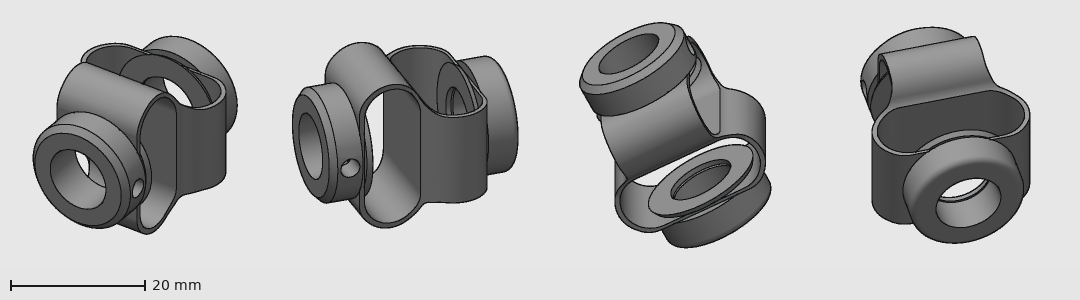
import cadquery as cq
import math

loop_half_length = 12.0
loop_depth = 10.0
band_width = 14.4
blend_radius = 3.0
end_wall = 0.8
middle_wall = 1.0
rear_wall = 0.48
front_wall = 0.8
shoulder_start = 10.5
shoulder_end = 7.6
shoulder_radius = 4.05

hub_radius = 8.75
hub_end = 15.0
hub_edge = 1.0
bore_radius = 5.0
screw_hole_diameter = 3.0
screw_hole_place = 12.0

flange_inner = 8.4
flange_thickness = 0.8
flange_small_radius = 8.3
clearance = 1.5

end_radius = loop_depth / 2
arc_center = loop_half_length - end_radius
shoulder_start_depth = end_radius + math.sqrt(end_radius**2 - (shoulder_start - arc_center) ** 2)
half_band = band_width / 2
flange_outer = flange_inner + flange_thickness
opening_half_length = loop_half_length - end_wall
opening_start = middle_wall / 2


def shoulder_middle():
    """Middle point of the shoulder arc, as (half length, depth)."""
    run = shoulder_start - shoulder_end
    rise = loop_depth - shoulder_start_depth
    chord = math.hypot(run, rise)
    bulge = shoulder_radius - math.sqrt(shoulder_radius**2 - (chord / 2) ** 2)
    return (
        (shoulder_start + shoulder_end) / 2 + bulge * rise / chord,
        (loop_depth + shoulder_start_depth) / 2 + bulge * run / chord,
    )


def loop_block():
    """Outer shape of the rear loop, extended in Z past the other loop."""
    mid_x, mid_y = shoulder_middle()
    outline = (
        cq.Workplane("XY")
        .moveTo(-arc_center, 0)
        .lineTo(arc_center, 0)
        .threePointArc((loop_half_length, end_radius), (shoulder_start, shoulder_start_depth))
        .threePointArc((mid_x, mid_y), (shoulder_end, loop_depth))
        .lineTo(-shoulder_end, loop_depth)
        .threePointArc((-mid_x, mid_y), (-shoulder_start, shoulder_start_depth))
        .threePointArc((-loop_half_length, end_radius), (-arc_center, 0))
        .close()
    )
    return outline.extrude(loop_half_length + clearance, both=True)


def loop_blends():
    """Concave blends from the rear loop's rounded ends to the front loop's sides."""
    center_x = half_band + blend_radius
    reach = end_radius + blend_radius
    center_y = end_radius - math.sqrt(reach**2 - (center_x - arc_center) ** 2)
    share = end_radius / reach
    touch_x = arc_center + (center_x - arc_center) * share
    touch_y = end_radius + (center_y - end_radius) * share
    angle = (math.pi + math.atan2(touch_y - center_y, touch_x - center_x)) / 2
    middle = (center_x + blend_radius * math.cos(angle), center_y + blend_radius * math.sin(angle))
    outline = (
        cq.Workplane("XY")
        .moveTo(half_band, center_y)
        .threePointArc(middle, (touch_x, touch_y))
        .lineTo(arc_center, end_radius)
        .lineTo(0, end_radius)
        .lineTo(0, center_y)
        .close()
    )
    blend = outline.extrude(loop_half_length + clearance, both=True)
    return blend.union(blend.mirror("YZ"))


def silhouette():
    """Rear loop, its blends and the width of the front band, extended along Z."""
    front_band = cq.Workplane("XY").box(band_width, loop_depth, 2 * (loop_half_length + clearance))
    front_band = front_band.translate((0, -loop_depth / 2, 0))
    return loop_block().union(loop_blends()).union(front_band)


def loop_opening(outer_wall):
    """Rounded slot through the rear loop, leaving outer_wall beside the hub."""
    depth = loop_depth - outer_wall - opening_start
    return (
        cq.Workplane("XY")
        .center(0, opening_start + depth / 2)
        .slot2D(2 * opening_half_length, depth)
        .extrude(loop_half_length + clearance, both=True)
    )


def to_front(shape):
    """Turn a rear loop shape into the front loop's place, long in Z."""
    return shape.rotate((0, 0, 0), (0, 1, 0), 90).mirror("XZ")


def cylinder_y(radius, start, end):
    """Cylinder about the Y axis."""
    return cq.Workplane("XZ", origin=(0, start, 0)).circle(radius).extrude(start - end)


def hub():
    """Plain rear hub with sharp edges."""
    return cylinder_y(hub_radius, loop_depth, hub_end)


def flange():
    """Tapered ring inside the rear loop, wide face toward the middle."""
    profile = [
        (bore_radius, flange_inner),
        (hub_radius, flange_inner),
        (flange_small_radius, flange_outer),
        (bore_radius, flange_outer),
    ]
    return cq.Workplane("XY").polyline(profile).close().revolve(360, (0, 0), (0, 1))


def screw_hole():
    """Radial hole from the bore out through the +X side of the front hub."""
    return (
        cq.Workplane("YZ", origin=(0, -screw_hole_place, 0))
        .circle(screw_hole_diameter / 2)
        .extrude(loop_half_length)
    )


def make_housing():
    """Two crossed loops with a hub on each and a flange on the front wall."""
    body = silhouette().intersect(to_front(silhouette()))
    body = body.cut(loop_opening(rear_wall)).cut(to_front(loop_opening(front_wall)))

    body = body.union(hub().faces(">Y").edges().fillet(hub_edge))
    body = body.union(hub().mirror("XZ").faces("<Y").edges().chamfer(hub_edge))
    body = body.union(flange().mirror("XZ"))

    for side in (-1, 1):
        body = body.cut(cylinder_y(bore_radius, side * end_radius, side * hub_end))
    return body.cut(screw_hole())


housing = make_housing()
retaining_ring = flange()

result = cq.Compound.makeCompound([housing.val(), retaining_ring.val()])